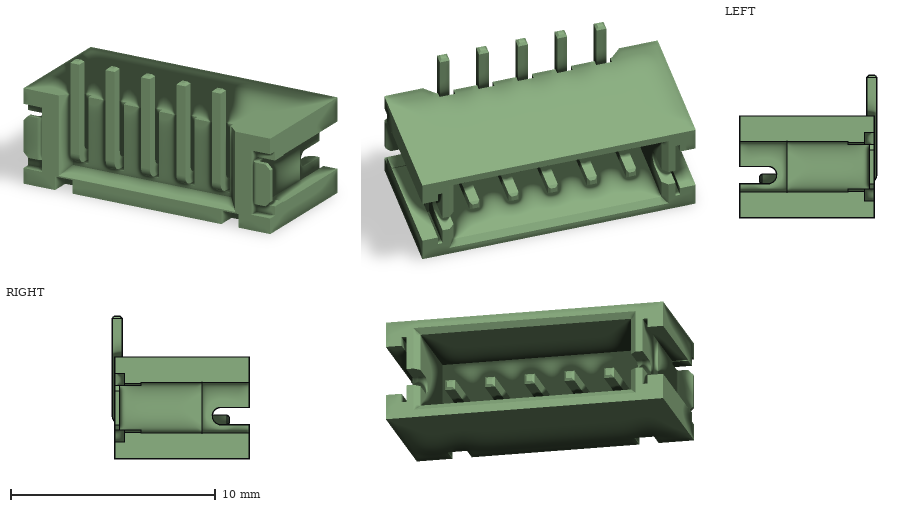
import cadquery as cq


length = 13.96
depth = 6.6
height = 5.0
mid_z = height / 2

contact_count = 5
row_span = 8.0
pitch = row_span / (contact_count - 1)
contact_side = 0.5
contact_overhang = 0.13
contact_top = 7.0
contact_bottom = 1.65
contact_setback = 0.98
contact_tip_y = depth - contact_setback
tip_chamfer = 0.11
contact_bend_inside = 0.45

shell_wall = 0.67
cavity_width = 10.61
cavity_depth = 5.0
cavity_height = height - 2 * shell_wall
lead_in = 0.28

tray_width = 9.97
tray_bottom = 0.78
tray_taper = 0.5
tray_depth = 0.53

notch_width = 0.8
notch_bottom = 1.51
notch_depth = 0.82

key_width = 0.98
key_height = 0.71
key_depth = 1.0
key_offset = 4.7

tab_sheet = 0.24
tab_height = 2.19
tab_corner = 0.27
tab_bend_inside = 0.13
tab_bend_outside = 0.25
channel_depth = 0.8
channel_height = 2.48
mouth_height = 2.4
mouth_length = 1.28
recess_height = 3.36
recess_length = 0.47
recess_inset = 1.05
slit_length = 2.32
inner_face = channel_depth + tab_sheet

finger_bottom = 1.68
finger_height = 0.84
finger_depth = 1.81


def box(x_range, y_range, z_range):
    """Solid block between two values on each axis."""
    x0, x1 = x_range
    y0, y1 = y_range
    z0, z1 = z_range
    return cq.Workplane("XY").box(x1 - x0, y1 - y0, z1 - z0, centered=False).translate((x0, y0, z0))


def centred(middle, size):
    """Range of the given size about a middle value."""
    return (middle - size / 2, middle + size / 2)


def mating_cavity():
    cavity = box(
        centred(0, cavity_width),
        (depth - cavity_depth, depth),
        centred(mid_z, cavity_height),
    )
    mouth = (
        cq.Workplane("XZ", origin=(0, depth, mid_z))
        .rect(cavity_width + 2 * lead_in, cavity_height + 2 * lead_in)
        .workplane(offset=lead_in)
        .rect(cavity_width, cavity_height)
        .loft(ruled=True)
    )
    return cavity.union(mouth)


def soldering_tray():
    """Tray with 45 degree sides and bottom, and a short straight lip at the front."""
    lip = tray_depth - tray_taper
    floor_width = tray_width - 2 * tray_taper
    sloped_rise = height - tray_bottom
    lip_block = box(centred(0, tray_width), (0, lip), (tray_bottom, height))
    tapered = (
        cq.Workplane("XZ", origin=(0, lip, height))
        .rect(tray_width, 2 * sloped_rise)
        .workplane(offset=-tray_taper)
        .rect(floor_width, 2 * (sloped_rise - tray_taper))
        .loft(ruled=True)
    )
    return lip_block.union(tapered)


def contact_notch(x):
    return box(centred(x, notch_width), (0, notch_depth), (notch_bottom, height))


def key_notch(x):
    return box(centred(x, key_width), (0, key_depth), (0, key_height))


def side_cutouts():
    """Everything cut from the -X end of the housing."""
    end = -length / 2
    channel = box(
        (end, end + channel_depth),
        (mouth_length, depth),
        centred(mid_z, channel_height),
    )
    mouth = box((end, end + inner_face), (0, mouth_length), centred(mid_z, mouth_height))
    recess = box((end, end + recess_inset), (0, recess_length), centred(mid_z, recess_height))
    slit = box(
        (end + channel_depth, end + inner_face),
        (depth - slit_length, depth),
        centred(mid_z, recess_height),
    )
    return channel.union(mouth).union(recess).union(slit)


def finger_slots():
    """One round-ended slot running through both end walls."""
    radius = finger_height / 2
    straight = finger_depth - radius
    return (
        cq.Workplane("YZ", origin=(-length / 2, 0, 0))
        .moveTo(depth, finger_bottom)
        .lineTo(depth - straight, finger_bottom)
        .threePointArc(
            (depth - finger_depth, finger_bottom + radius),
            (depth - straight, finger_bottom + finger_height),
        )
        .lineTo(depth, finger_bottom + finger_height)
        .close()
        .extrude(length)
    )


def hold_down_tab():
    """Strip along the -X channel, bent outward at the soldering face."""
    end = -length / 2
    strip_outer = end + channel_depth
    strip_inner = end + inner_face
    tab = (
        cq.Workplane("XY", origin=(0, 0, mid_z - tab_height / 2))
        .moveTo(end, 0)
        .lineTo(strip_inner, 0)
        .lineTo(strip_inner, mouth_length)
        .lineTo(strip_outer, mouth_length)
        .lineTo(strip_outer, tab_sheet)
        .lineTo(end, tab_sheet)
        .close()
        .extrude(tab_height)
    )
    outside_bend = cq.selectors.NearestToPointSelector((strip_inner, 0, mid_z))
    inside_bend = cq.selectors.NearestToPointSelector((strip_outer, tab_sheet, mid_z))
    tab = tab.edges(outside_bend).fillet(tab_bend_outside)
    tab = tab.edges(inside_bend).fillet(tab_bend_inside)
    return tab.faces("<X").edges("|Y").chamfer(tab_corner)


def contact(x):
    """Square wire bent at a right angle: one leg up, one leg into the cavity."""
    front = -contact_overhang
    wire = (
        cq.Workplane("YZ", origin=(x - contact_side / 2, 0, 0))
        .moveTo(front, contact_top)
        .lineTo(front, contact_bottom + contact_side)
        .radiusArc((front + contact_side, contact_bottom), -contact_side)
        .lineTo(contact_tip_y, contact_bottom)
        .lineTo(contact_tip_y, contact_bottom + contact_side)
        .lineTo(front + contact_side, contact_bottom + contact_side)
        .lineTo(front + contact_side, contact_top)
        .close()
        .extrude(contact_side)
    )
    inside_corner = (x, front + contact_side, contact_bottom + contact_side)
    inside_bend = cq.selectors.NearestToPointSelector(inside_corner)
    wire = wire.edges(inside_bend).fillet(contact_bend_inside)
    return wire.faces(">Z or >Y").edges().chamfer(tip_chamfer)


contact_places = [(i - (contact_count - 1) / 2) * pitch for i in range(contact_count)]
contacts = [contact(x) for x in contact_places]

housing = box(centred(0, length), (0, depth), (0, height))
housing = housing.cut(mating_cavity()).cut(soldering_tray()).cut(finger_slots())
for x in (-key_offset, key_offset):
    housing = housing.cut(key_notch(x))
housing = housing.cut(side_cutouts()).cut(side_cutouts().mirror("YZ"))
housing = housing.union(hold_down_tab()).union(hold_down_tab().mirror("YZ"))
for x, pin in zip(contact_places, contacts):
    housing = housing.cut(contact_notch(x)).cut(pin)

result = cq.Compound.makeCompound([housing.solids().val(), *[pin.solids().val() for pin in contacts]])